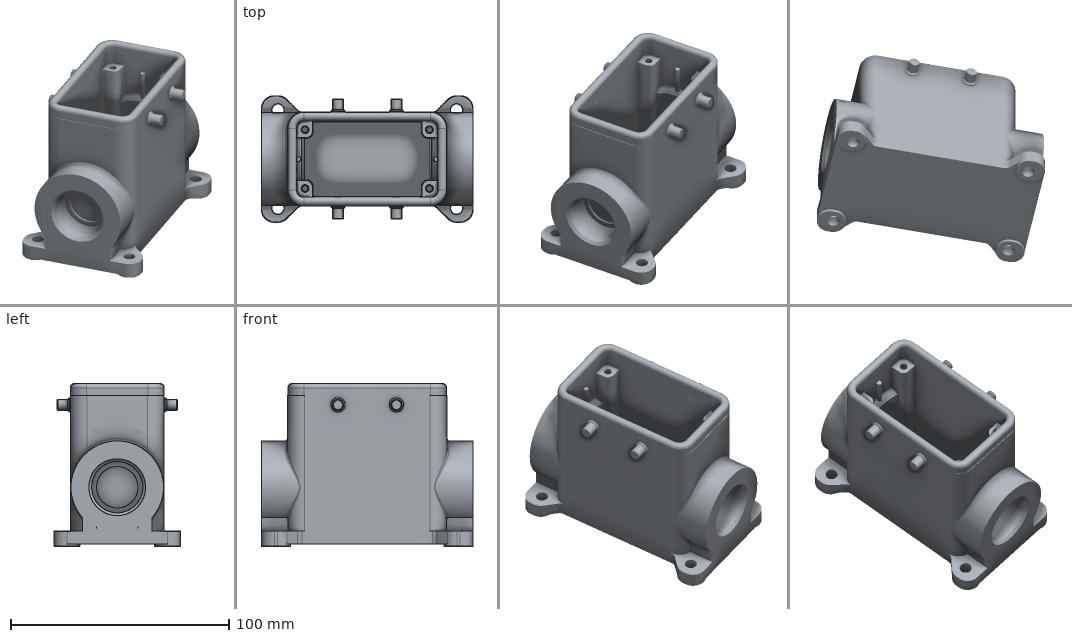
import cadquery as cq
import math

length = 97.0
width = 58.0
height = 74.8
foot_height = 1.2

body_length = 73.2
body_width = 43.1
body_corner = 7.8
rim_length = 72.75
rim_corner = 7.5
rim_start = 69.3
rim_round = 2.0
bead_base = height - rim_round
wall = 2 * rim_round
floor_top = 3.9
cavity_length = rim_length - 2 * wall
cavity_width = body_width - 2 * wall
cavity_corner = rim_corner - wall
cavity_step = (body_length - rim_length) / 2
cavity_draft = 0.3

post_top = 63.8
post_inner_x = 25.1
post_inner_y = 9.8
post_round = 2.9
post_root_round = 0.9
post_draft = 0.3
screw_x = 28.5
screw_y = 13.5
screw_diameter = 3.5
screw_depth = 9.7
screw_end_diameter = 2.8
screw_end_depth = 14.55

rib_top = 62.2
rib_width = 2.1
rib_tip_x = 30.5

entry_height = 27.3
entry_radius = 21.2
entry_face_x = length / 2
entry_blend = 0.9
pedestal_width = 32.0
bore_diameter = 23.5
bore_mouth_diameter = 26.0
bore_depth = 13.5
knockout_diameter = 19.0
knockout_depth = 1.2

pad_radius = 22.2
pad_face_x = 28.8
pad_step_x = 29.4
pad_shoulder_x = 30.1
pad_chamfer = pad_shoulder_x - pad_step_x
pad_blend = 1.6

lug_top = 7.2
lug_corner = 5.9
lug_slope_angle = 45.0
lug_root_round = 2.9
lug_root_x = 31.1
lug_end_x = body_length / 2 - body_corner
lug_slope_x = lug_root_x + (width - body_width) / 2 / math.tan(math.radians(lug_slope_angle))
lug_hole_x = 40.9
lug_hole_y = 22.5
lug_hole_diameter = 5.5
foot_length = length / 2 - lug_slope_x + lug_corner * (1 - math.tan(math.radians(lug_slope_angle / 2)))
foot_chamfer = 0.3

pin_x = 13.4
pin_height = 65.0
pin_tip_y = 27.5
pin_diameter = 4.9
pin_chamfer = 0.3
collar_diameter = 6.5
collar_straight = 0.4
collar_taper = (collar_diameter - pin_diameter) / 2
pin_end_diameter = 2.9
pin_end_proud = 0.1

SIDES = (-1, 1)
CORNERS = [(side_x, side_y) for side_x in SIDES for side_y in SIDES]


def rounded_block(size_x, size_y, corner, z_low, z_high):
    block = cq.Workplane("XY").box(size_x, size_y, z_high - z_low, centered=(True, True, False))
    return block.edges("|Z").fillet(corner).translate((0, 0, z_low))


def end_revolve(profile, side):
    """Spin an (axial x, radius) profile about the entry axis on the chosen end."""
    solid = profile.close().revolve(360, (0, 0, 0), (1, 0, 0))
    if side < 0:
        solid = solid.mirror("YZ")
    return solid.translate((0, 0, entry_height))


def housing():
    body = rounded_block(body_length, body_width, body_corner, foot_height, rim_start)
    rim = rounded_block(rim_length, body_width, rim_corner, rim_start, bead_base)
    return body.union(rim)


def rim_bead():
    """Half-round bead that runs along the top of the rim."""
    plinth = rounded_block(rim_length - wall, body_width - wall, rim_corner - rim_round, rim_start, bead_base)
    path = plinth.faces(">Z").wires()
    bead = cq.Workplane("XZ").moveTo(rim_length / 2, bead_base)
    bead = bead.radiusArc((rim_length / 2 - wall, bead_base), -rim_round).close()
    return bead.sweep(path)


def entry(side):
    """Round entry barrel standing on a straight-sided pedestal."""
    barrel = cq.Workplane("YZ").center(0, entry_height).circle(entry_radius).extrude(side * entry_face_x)
    pedestal = cq.Workplane("XY").box(
        entry_face_x, pedestal_width, entry_height - foot_height, centered=(False, True, False)
    )
    if side < 0:
        pedestal = pedestal.mirror("YZ")
    return barrel.union(pedestal.translate((0, 0, foot_height)))


def blend_entries(solid):
    """Round the inside corner where the top of each entry barrel meets the end wall."""
    top = entry_height + entry_radius
    for side in SIDES:
        x = side * body_length / 2
        solid = solid.edges(cq.selectors.NearestToPointSelector((x, 0, top))).fillet(entry_blend)
    return solid


def lug_plate():
    """Plate under the +X entry with a sloped lug at each end."""
    half_width = width / 2
    half_body = body_width / 2
    upper = [
        (lug_end_x, half_body),
        (lug_root_x, half_body),
        (lug_slope_x, half_width),
        (length / 2, half_width),
    ]
    lower = [(x, -y) for x, y in reversed(upper)]
    plate = cq.Workplane("XY").workplane(offset=foot_height).polyline(upper + lower).close()
    plate = plate.extrude(lug_top - foot_height)
    for (x, y), radius in zip(upper[1:], (lug_root_round, lug_corner, lug_corner)):
        for side in SIDES:
            corner = cq.selectors.NearestToPointSelector((x, side * y, (foot_height + lug_top) / 2))
            plate = plate.edges(corner).fillet(radius)
    return plate


def lug_feet():
    foot_x = (length - foot_length) / 2
    foot_y = width / 2 - lug_corner
    feet = cq.Workplane("XY").pushPoints([(foot_x, side * foot_y) for side in SIDES])
    feet = feet.slot2D(foot_length, 2 * lug_corner).extrude(2 * foot_height)
    return feet.faces("<Z").edges().chamfer(foot_chamfer)


def lug_holes():
    """Upright holes through all four lugs."""
    centres = [(side_x * lug_hole_x, side_y * lug_hole_y) for side_x, side_y in CORNERS]
    return cq.Workplane("XY").pushPoints(centres).circle(lug_hole_diameter / 2).extrude(lug_top)


def end_wall_pad(side):
    """Round thickening with a stepped, chamfered rim and a hollow blend into the end wall."""
    top = entry_height + pad_radius + pad_blend
    draft_inset = (rim_start - top) * math.tan(math.radians(cavity_draft))
    wall_x = cavity_length / 2 + cavity_step - draft_inset
    profile = (
        cq.Workplane("XZ")
        .moveTo(pad_face_x, 0)
        .lineTo(pad_face_x, pad_radius - pad_chamfer)
        .lineTo(pad_step_x, pad_radius - pad_chamfer)
        .lineTo(pad_shoulder_x, pad_radius)
        .lineTo(wall_x - pad_blend, pad_radius)
        .radiusArc((wall_x, pad_radius + pad_blend), -pad_blend)
        .lineTo(body_length / 2, pad_radius + pad_blend)
        .lineTo(body_length / 2, 0)
    )
    return end_revolve(profile, side)


def screw_post(side_x, side_y):
    """Drafted corner post, widening downward, rounded on its free corner."""
    size_x = rim_length / 2 - post_inner_x
    size_y = body_width / 2 - post_inner_y
    post = (
        cq.Workplane("XY")
        .workplane(offset=post_top)
        .sketch()
        .rect(size_x, size_y)
        .vertices("<X and <Y")
        .fillet(post_round)
        .finalize()
        .extrude(foot_height - post_top, taper=-post_draft)
        .translate((post_inner_x + size_x / 2, post_inner_y + size_y / 2, 0))
    )
    if side_x < 0:
        post = post.mirror("YZ")
    if side_y < 0:
        post = post.mirror("XZ")
    return post


def wall_rib(side):
    """Round-nosed upright rib on an end wall."""
    nose_x = rib_tip_x + rib_width / 2
    bar_length = rim_length / 2 - nose_x
    bar = cq.Workplane("XY").center(side * (nose_x + bar_length / 2), 0)
    bar = bar.rect(bar_length, rib_width).extrude(rib_top)
    nose = cq.Workplane("XY").center(side * nose_x, 0).circle(rib_width / 2).extrude(rib_top)
    return bar.union(nose)


def drafted_pocket(size_x, size_y, z_high, z_low):
    """Rounded rectangular space that narrows downward."""
    return (
        cq.Workplane("XY")
        .workplane(offset=z_high)
        .sketch()
        .rect(size_x, size_y)
        .vertices()
        .fillet(cavity_corner)
        .finalize()
        .extrude(z_low - z_high, taper=cavity_draft)
    )


def cavity():
    """Open space inside the housing, with everything that stands in it left out."""
    narrowing = 2 * (bead_base - rim_start) * math.tan(math.radians(cavity_draft))
    mouth = drafted_pocket(cavity_length, cavity_width, bead_base, rim_start)
    pocket = drafted_pocket(cavity_length + 2 * cavity_step, cavity_width - narrowing, rim_start, floor_top)
    space = mouth.union(pocket)
    for side_x, side_y in CORNERS:
        space = space.cut(screw_post(side_x, side_y))
    mid_height = (floor_top + post_top) / 2
    for side_x, side_y in CORNERS:
        for x, y in ((cavity_length / 2, post_inner_y), (post_inner_x, cavity_width / 2)):
            root = cq.selectors.NearestToPointSelector((side_x * x, side_y * y, mid_height))
            space = space.edges(root).fillet(post_root_round)
    for side in SIDES:
        space = space.cut(end_wall_pad(side)).cut(wall_rib(side))
    return space


def entry_bore(side):
    """Blind bore with a chamfered mouth and a shallow round knockout at its bottom."""
    bore_end = entry_face_x - bore_depth
    mouth_depth = (bore_mouth_diameter - bore_diameter) / 2
    knockout_end = bore_end - knockout_depth
    profile = cq.Workplane("XZ").polyline([
        (entry_face_x, 0),
        (entry_face_x, bore_mouth_diameter / 2),
        (entry_face_x - mouth_depth, bore_diameter / 2),
        (bore_end, bore_diameter / 2),
        (bore_end, knockout_diameter / 2),
        (knockout_end, knockout_diameter / 2),
        (knockout_end, 0),
    ])
    return end_revolve(profile, side)


def screw_hole(side_x, side_y):
    """Blind hole down a post, narrower in its lower part."""
    mouth = cq.Workplane("XY").workplane(offset=post_top).circle(screw_diameter / 2).extrude(-screw_depth)
    end = cq.Workplane("XY").workplane(offset=post_top).circle(screw_end_diameter / 2).extrude(-screw_end_depth)
    return mouth.union(end).translate((side_x * screw_x, side_y * screw_y, 0))


def locking_pin(side_x, side_y):
    """Pin through the long wall, with a tapered collar outside and a small stub end inside."""
    outer_wall = body_width / 2
    taper_start = outer_wall + collar_straight
    taper_end = taper_start + collar_taper
    middle_of_wall = outer_wall - wall / 2
    inner_end = cavity_width / 2 - pin_end_proud
    pin = cq.Workplane("XY").polyline([
        (0, inner_end),
        (pin_end_diameter / 2, inner_end),
        (pin_end_diameter / 2, middle_of_wall),
        (collar_diameter / 2, middle_of_wall),
        (collar_diameter / 2, taper_start),
        (pin_diameter / 2, taper_end),
        (pin_diameter / 2, pin_tip_y - pin_chamfer),
        (pin_diameter / 2 - pin_chamfer, pin_tip_y),
        (0, pin_tip_y),
    ])
    pin = pin.close().revolve(360, (0, 0, 0), (0, 1, 0))
    if side_y < 0:
        pin = pin.mirror("XZ")
    return pin.translate((side_x * pin_x, 0, pin_height))


part = housing()
for side in SIDES:
    part = part.union(entry(side))
part = blend_entries(part)
mounting_end = lug_plate().union(lug_feet())
for end in (mounting_end, mounting_end.mirror("YZ")):
    part = part.union(end)

part = part.cut(cavity())
part = part.union(rim_bead())

for side in SIDES:
    part = part.cut(entry_bore(side))
part = part.cut(lug_holes())
for side_x, side_y in CORNERS:
    part = part.cut(screw_hole(side_x, side_y))
    part = part.union(locking_pin(side_x, side_y))

result = part